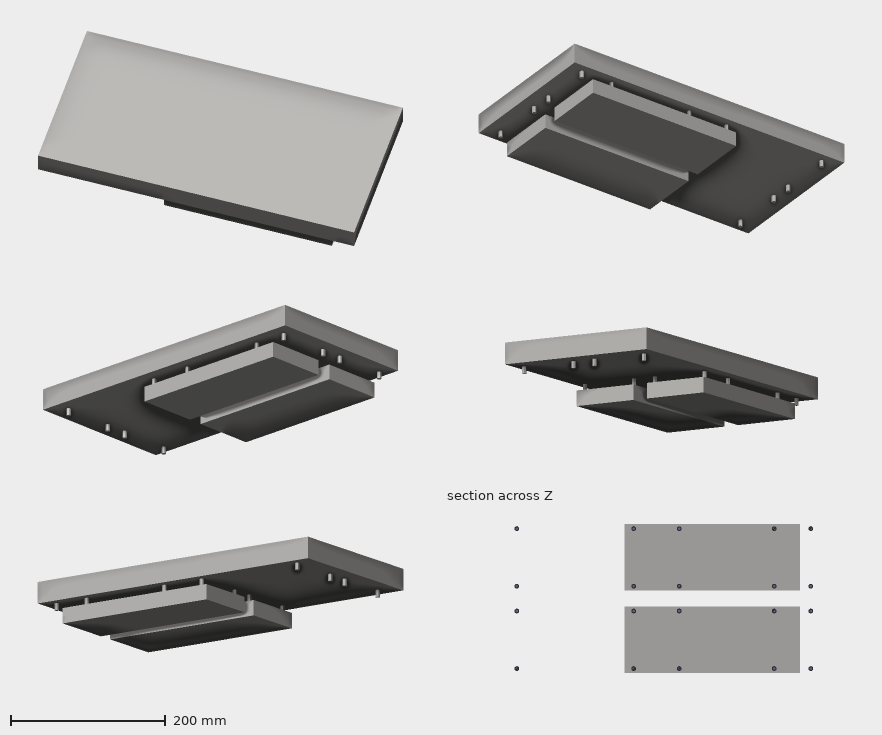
import cadquery as cq
import math

plate_length = 427.0
plate_width = 214.0
plate_thickness = 28.5

block_length = 226.7
block_width = 86.0
block_height = 20.5
block_center_x = 65.8
block_pitch = 106.5
block_pair_center_y = 3.5
block_centers_y = [block_pair_center_y + side * block_pitch / 2 for side in (-1, 1)]

standoff_length = 9.5
standoff_across_flats = 5.0
standoff_across_corners = standoff_across_flats / math.cos(math.pi / 6)
standoff_row_spacing = 74.5
standoff_columns_x = [-187.0, -36.5, 22.5, 145.0, 192.5]


def make_plate():
    return cq.Workplane("XY").box(
        plate_length, plate_width, plate_thickness, centered=(True, True, False)
    )


def make_standoffs():
    """Hexagonal posts reaching down from the plate to the level of the block tops."""
    corners_along_y = cq.Plane(origin=(0, 0, 0), xDir=(0, 1, 0), normal=(0, 0, 1))
    centers = [
        (block_y + side * standoff_row_spacing / 2, -x)
        for block_y in block_centers_y
        for side in (-1, 1)
        for x in standoff_columns_x
    ]
    return (
        cq.Workplane(corners_along_y)
        .pushPoints(centers)
        .polygon(6, standoff_across_corners)
        .extrude(-standoff_length)
    )


def make_blocks():
    centers = [(block_center_x, block_y) for block_y in block_centers_y]
    return (
        cq.Workplane("XY")
        .workplane(offset=-standoff_length)
        .pushPoints(centers)
        .rect(block_length, block_width)
        .extrude(-block_height)
    )


result = make_plate().union(make_standoffs()).union(make_blocks())